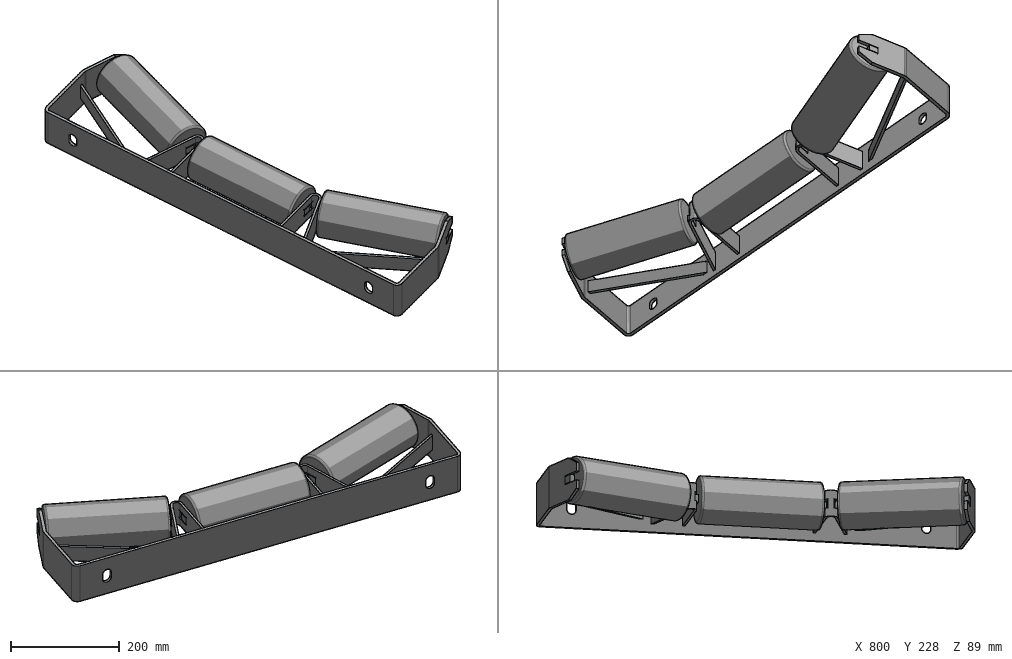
import cadquery as cq
import math


FRAME_LENGTH = 800.0
STRIP_WIDTH = 80.0
FRAME_THICKNESS = 6.0
CORNER_RADIUS = 11.0
KINK_RADIUS = 14.0
TROUGH_ANGLE = 20.0
TIP_CHAMFER_LENGTH = 28.0
TIP_CHAMFER_DEPTH = 15.0
TIP_OVERHANG = 30.0

MOUNT_SPACING = 666.0
MOUNT_SLOT_WIDTH = 18.0
MOUNT_SLOT_HEIGHT = 28.0

ROLLER_DIAMETER = 89.0
ROLLER_LENGTH = 230.0
ROLLER_EDGE_RADIUS = 4.0
AXLE_HEIGHT = 18.0
AXLE_WIDTH = 14.0
AXLE_SLOT_WIDTH = 17.0
MIDDLE_ROLLER_Y = 99.0
SIDE_ROLLER_X = 260.0
SIDE_ROLLER_Y = 148.0

PLATE_THICKNESS = 5.0
SUPPORT_OFFSET = 120.0
HOOP_RADIUS = 12.0
HOOP_WIDTH = 50.0
BRACE_WIDTH = 32.0
BRACE_FOOT_X = 199.0
BRACE_TOP_Y = 117.0

HALF_LENGTH = FRAME_LENGTH / 2
TILT = math.radians(TROUGH_ANGLE)
AXLE_LENGTH = 2 * (SUPPORT_OFFSET + PLATE_THICKNESS)
AXIS = (math.cos(TILT), math.sin(TILT))
NORMAL = (-math.sin(TILT), math.cos(TILT))


def side_point(along, across):
    """Point given along and across the axis of the right roller, from its centre."""
    return (
        SIDE_ROLLER_X + along * AXIS[0] + across * NORMAL[0],
        SIDE_ROLLER_Y + along * AXIS[1] + across * NORMAL[1],
    )


def side_line_y(along, x):
    """Height at x of the line square to the right roller axis, `along` from its centre."""
    foot_x, foot_y = side_point(along, 0)
    return foot_y - (x - foot_x) / math.tan(TILT)


def side_line_x(along, y):
    """X at height y of the line square to the right roller axis, `along` from its centre."""
    foot_x, foot_y = side_point(along, 0)
    return foot_x - (y - foot_y) * math.tan(TILT)


def prism(points, width):
    """Closed outline in XY, extruded to a width centred on Z = 0."""
    return cq.Workplane("XY").polyline(points).close().extrude(width / 2, both=True)


def round_edge(body, point, radius):
    """Fillet the edge along Z that passes through a point in XY."""
    nearest = cq.selectors.NearestToPointSelector((*point, 0))
    return body.edges("|Z").edges(nearest).fillet(radius)


def mirrored(body):
    """Copy of a body on the other side of the middle, X = 0."""
    return body.mirror("YZ")


def on_side_axis(body):
    """Move a body built along X at the origin onto the right roller axis."""
    turned = body.rotate((0, 0, 0), (0, 0, 1), TROUGH_ANGLE)
    return turned.translate((SIDE_ROLLER_X, SIDE_ROLLER_Y, 0))


def axle_slot(start, end):
    """Slot cutter along X from start to end, open upward from the underside of the axle."""
    depth = ROLLER_DIAMETER
    cutter = cq.Workplane("XY").box(end - start, depth, AXLE_SLOT_WIDTH, centered=(False, False, True))
    return cutter.translate((start, -AXLE_HEIGHT / 2, 0))


def make_frame():
    outer = AXLE_LENGTH / 2
    inner = outer - FRAME_THICKNESS
    inner_x = HALF_LENGTH - FRAME_THICKNESS
    base_corner = (HALF_LENGTH, 0)
    kink = (HALF_LENGTH, side_line_y(outer, HALF_LENGTH))
    inner_kink = (inner_x, side_line_y(inner, inner_x))
    inner_corner = (inner_x, FRAME_THICKNESS)
    right = [base_corner, kink, side_point(outer, TIP_OVERHANG),
             side_point(inner, TIP_OVERHANG), inner_kink, inner_corner]
    left = [(-x, y) for x, y in reversed(right)]
    frame = prism(right + left, STRIP_WIDTH)

    for side in (1, -1):
        for (x, y), radius in (
            (base_corner, CORNER_RADIUS),
            (inner_corner, CORNER_RADIUS - FRAME_THICKNESS),
            (kink, KINK_RADIUS),
            (inner_kink, KINK_RADIUS - FRAME_THICKNESS),
        ):
            frame = round_edge(frame, (side * x, y), radius)

    tip_cut = on_side_axis(make_tip_cut(inner, outer))
    slot = on_side_axis(axle_slot(inner - FRAME_THICKNESS, outer + FRAME_THICKNESS))
    for cutter in (tip_cut, slot):
        frame = frame.cut(cutter).cut(mirrored(cutter))
    return frame.cut(make_mount_slots())


def make_tip_cut(inner, outer):
    """Triangular cutters that take off both corners of a wall tip."""
    half = STRIP_WIDTH / 2
    corner = [
        (TIP_OVERHANG, half),
        (TIP_OVERHANG - TIP_CHAMFER_LENGTH, half),
        (TIP_OVERHANG, half - TIP_CHAMFER_DEPTH),
    ]
    upper = cq.Workplane("YZ").workplane(offset=inner).polyline(corner).close().extrude(outer - inner)
    return upper.union(upper.mirror("XY"))


def make_mount_slots():
    return (
        cq.Workplane("XZ")
        .pushPoints([(-MOUNT_SPACING / 2, 0), (MOUNT_SPACING / 2, 0)])
        .slot2D(MOUNT_SLOT_HEIGHT, MOUNT_SLOT_WIDTH, 90)
        .extrude(-FRAME_THICKNESS)
    )


def make_hoop(inset, radius):
    """Rounded wedge between the middle and right rollers, its faces moved in by inset."""
    straight_x = SUPPORT_OFFSET + inset
    slant = -SUPPORT_OFFSET - inset
    apex = (straight_x, side_line_y(slant, straight_x))
    feet = [(straight_x, FRAME_THICKNESS), (side_line_x(slant, FRAME_THICKNESS), FRAME_THICKNESS)]
    return round_edge(prism([apex, *feet], HOOP_WIDTH), apex, radius)


def make_bracket():
    bracket = make_hoop(0, HOOP_RADIUS)
    bracket = bracket.cut(make_hoop(PLATE_THICKNESS, HOOP_RADIUS - PLATE_THICKNESS))
    reach = SUPPORT_OFFSET + PLATE_THICKNESS
    middle_slot = axle_slot(SUPPORT_OFFSET, reach).translate((0, MIDDLE_ROLLER_Y, 0))
    side_slot = on_side_axis(axle_slot(-reach, -SUPPORT_OFFSET))
    return bracket.cut(middle_slot).cut(side_slot)


def make_brace():
    wall_x = HALF_LENGTH - FRAME_THICKNESS
    rise = BRACE_TOP_Y - FRAME_THICKNESS
    run = wall_x - BRACE_FOOT_X
    length = math.hypot(rise, run)
    outline = [
        (BRACE_FOOT_X, FRAME_THICKNESS),
        (wall_x, BRACE_TOP_Y),
        (wall_x, BRACE_TOP_Y - PLATE_THICKNESS * length / run),
        (BRACE_FOOT_X + PLATE_THICKNESS * length / rise, FRAME_THICKNESS),
    ]
    return prism(outline, BRACE_WIDTH)


def make_roller():
    """Roller and its flat-sided axle, along X and centred on the origin."""
    shell = cq.Workplane("YZ").circle(ROLLER_DIAMETER / 2).extrude(ROLLER_LENGTH)
    shell = shell.translate((-ROLLER_LENGTH / 2, 0, 0))
    shell = shell.edges("%CIRCLE").fillet(ROLLER_EDGE_RADIUS)
    axle = cq.Workplane("XY").box(AXLE_LENGTH, AXLE_HEIGHT, AXLE_WIDTH)
    return shell.union(axle)


frame = make_frame()
brackets = [make_bracket(), mirrored(make_bracket())]
braces = [make_brace(), mirrored(make_brace())]

right_roller = on_side_axis(make_roller())
middle_roller = make_roller().translate((0, MIDDLE_ROLLER_Y, 0))
rollers = [right_roller, middle_roller, mirrored(right_roller)]

bodies = [frame, *brackets, *braces, *rollers]
result = cq.Compound.makeCompound([body.val() for body in bodies])